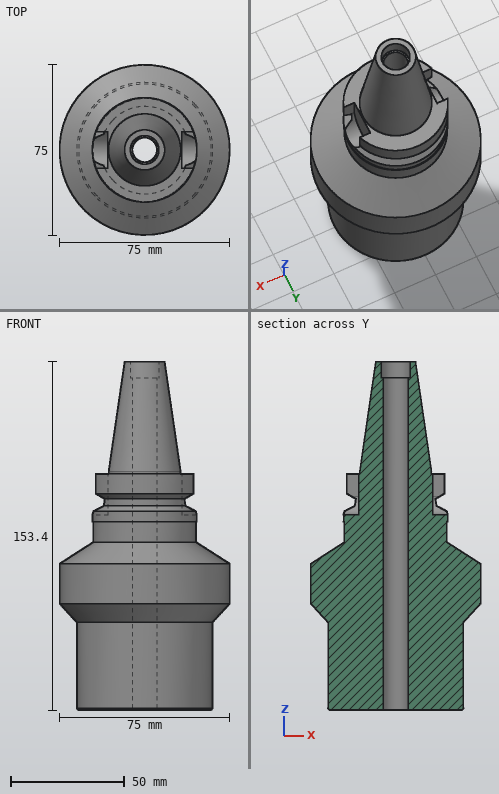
import cadquery as cq

total_height = 153.4
body_radius = 29.9
collar_radius = 75.0 / 2
flange_radius = 23.0
neck_radius = 22.7
groove_radius = 19.3
taper_base_radius = 15.88

body_top = 38.7
collar_bottom = 47.0
collar_top = 64.5
neck_bottom = 74.0
neck_top = 83.0
groove_lower_edge = 87.6
groove_floor_bottom = 89.9
groove_floor_top = 93.0
groove_upper_edge = 95.3
flange_top = 104.0
gauge_plane = 105.1

taper_ratio = 7 / 24
nose_radius = taper_base_radius - (total_height - gauge_plane) * taper_ratio / 2

bottom_chamfer = 0.8

mouth_radius = 6.3
mouth_depth = 7.0
through_radius = 5.4

slot_width = 16.1
slot_floor_distance = 16.34
slot_bottom = 86.0


def make_turned_body():
    profile = [
        (0, 0),
        (body_radius - bottom_chamfer, 0),
        (body_radius, bottom_chamfer),
        (body_radius, body_top),
        (collar_radius, collar_bottom),
        (collar_radius, collar_top),
        (neck_radius, neck_bottom),
        (neck_radius, neck_top),
        (flange_radius, neck_top),
        (flange_radius, groove_lower_edge),
        (groove_radius, groove_floor_bottom),
        (groove_radius, groove_floor_top),
        (flange_radius, groove_upper_edge),
        (flange_radius, flange_top),
        (taper_base_radius, flange_top),
        (taper_base_radius, gauge_plane),
        (nose_radius, total_height),
        (0, total_height),
    ]
    return cq.Workplane("XZ").polyline(profile).close().revolve(360, (0, 0), (0, 1))


def make_bore():
    through_hole = cq.Workplane("XY").circle(through_radius).extrude(total_height)
    mouth = (
        cq.Workplane("XY")
        .workplane(offset=total_height - mouth_depth)
        .circle(mouth_radius)
        .extrude(mouth_depth)
    )
    return through_hole.union(mouth)


def make_drive_slot(side):
    """Slot cutter on the +X (side = 1) or -X (side = -1) flank."""
    half_width = slot_width / 2
    arc_center = slot_bottom + half_width
    return (
        cq.Workplane("YZ")
        .workplane(offset=side * slot_floor_distance)
        .moveTo(-half_width, flange_top)
        .lineTo(-half_width, arc_center)
        .threePointArc((0, slot_bottom), (half_width, arc_center))
        .lineTo(half_width, flange_top)
        .close()
        .extrude(side * (collar_radius - slot_floor_distance))
    )


result = make_turned_body().cut(make_bore())
for side in (-1, 1):
    result = result.cut(make_drive_slot(side))